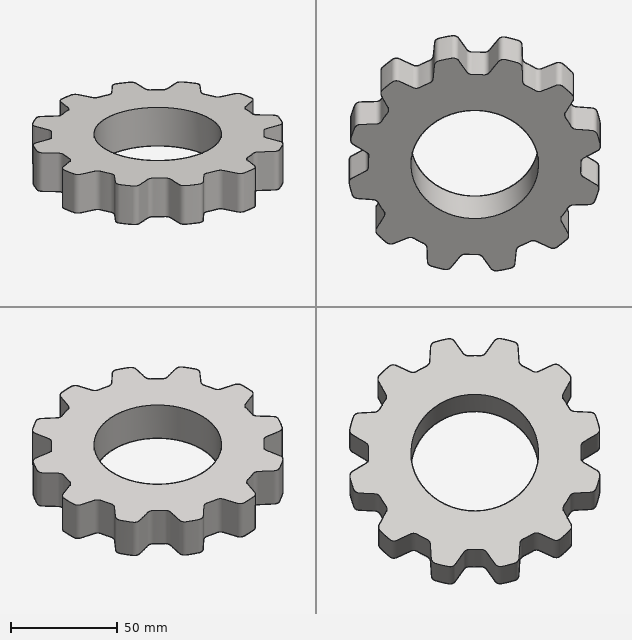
import cadquery as cq
import math

TOOTH_COUNT = 12
TIP_RADIUS = 60.0
THICKNESS = TIP_RADIUS / 3
BORE_RADIUS = TIP_RADIUS / 2
ROOT_RADIUS = TIP_RADIUS * 5 / 6
CORNER_RADIUS = 3.0

PITCH_ANGLE = 2 * math.pi / TOOTH_COUNT
TIP_HALF_ANGLE = PITCH_ANGLE / 6
ROOT_START_ANGLE = PITCH_ANGLE / 3


def polar(radius, angle):
    return radius * math.cos(angle), radius * math.sin(angle)


def gear_outline():
    """Closed outline with straight flanks between arcs on the tip and root circles."""
    outline = cq.Workplane("XY").moveTo(*polar(ROOT_RADIUS, -ROOT_START_ANGLE))
    for tooth in range(TOOTH_COUNT):
        center = tooth * PITCH_ANGLE
        next_center = center + PITCH_ANGLE
        outline = outline.lineTo(*polar(TIP_RADIUS, center - TIP_HALF_ANGLE))
        outline = outline.threePointArc(
            polar(TIP_RADIUS, center),
            polar(TIP_RADIUS, center + TIP_HALF_ANGLE),
        )
        outline = outline.lineTo(*polar(ROOT_RADIUS, center + ROOT_START_ANGLE))
        outline = outline.threePointArc(
            polar(ROOT_RADIUS, center + PITCH_ANGLE / 2),
            polar(ROOT_RADIUS, next_center - ROOT_START_ANGLE),
        )
    return outline.close()


blank = gear_outline().extrude(THICKNESS).edges("|Z").fillet(CORNER_RADIUS)

bore = cq.Workplane("XY").circle(BORE_RADIUS).extrude(THICKNESS)

result = blank.cut(bore)